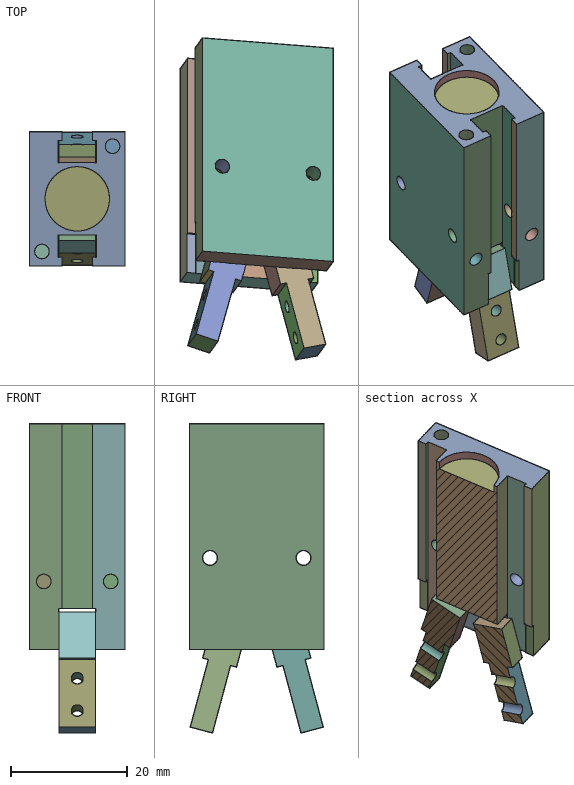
import cadquery as cq
import math

HOUSING_WIDTH = 16.4
HOUSING_DEPTH = 23.0
HOUSING_HEIGHT = 38.65

T_NECK_WIDTH = 5.25
T_HEAD_WIDTH = 6.55
T_FLOOR_Y = 6.2
T_SHOULDER_Y = 9.95

FINGER_WIDTH = 6.3
FINGER_SLOT_HEIGHT = 7.0

RECESS_DIAMETER = 11.0
RECESS_DEPTH = 1.55
HOLE_DIAMETER = 2.5
BLIND_HOLE_DEPTH = 3.2
TOP_HOLE_X = 6.05
TOP_HOLE_Y = 9.0
FRONT_HOLE_X = 5.7
FRONT_HOLE_Z = 11.65
SIDE_HOLE_Y = 8.0
SIDE_HOLE_Z = 15.65

FINGER_TILT = 15.0
ROOT_INNER_Y = 2.55
ROOT_OUTER_Y = 8.6
BLADE_INNER_Y = 3.6
BLADE_OUTER_Y = 7.55
ROOT_RISE = 4.4
SHOULDER_DROP = 3.8
TIP_Z = -14.3
FINGER_HOLE_DIAMETER = 2.0
FINGER_HOLE_DROPS = (7.1, 12.8)

tilt = math.radians(FINGER_TILT)
TIP_DROP = (BLADE_INNER_Y * math.sin(tilt) - TIP_Z) / math.cos(tilt)


def block(width, y_start, y_end, height):
    """Box centred on X, standing on Z = 0 between two Y positions."""
    return (
        cq.Workplane("XY")
        .center(0, (y_start + y_end) / 2)
        .rect(width, y_end - y_start)
        .extrude(height)
    )


def t_slot():
    """Full-height T-slot on the +Y side."""
    head = block(T_HEAD_WIDTH, T_FLOOR_Y, T_SHOULDER_Y, HOUSING_HEIGHT)
    neck = block(T_NECK_WIDTH, T_FLOOR_Y, HOUSING_DEPTH / 2, HOUSING_HEIGHT)
    return head.union(neck)


def make_housing():
    body = block(HOUSING_WIDTH, -HOUSING_DEPTH / 2, HOUSING_DEPTH / 2, HOUSING_HEIGHT)

    for angle in (0, 180):
        body = body.cut(t_slot().rotate((0, 0, 0), (0, 0, 1), angle))

    body = body.cut(
        block(FINGER_WIDTH, -HOUSING_DEPTH / 2, HOUSING_DEPTH / 2, FINGER_SLOT_HEIGHT)
    )

    top = cq.Workplane("XY", origin=(0, 0, HOUSING_HEIGHT))
    body = body.cut(top.circle(RECESS_DIAMETER / 2).extrude(-RECESS_DEPTH))
    top_holes = [(TOP_HOLE_X, TOP_HOLE_Y), (-TOP_HOLE_X, -TOP_HOLE_Y)]
    body = body.cut(
        top.pushPoints(top_holes).circle(HOLE_DIAMETER / 2).extrude(-BLIND_HOLE_DEPTH)
    )

    front = cq.Workplane("XZ", origin=(0, -HOUSING_DEPTH / 2, 0))
    front_holes = [(-FRONT_HOLE_X, FRONT_HOLE_Z), (FRONT_HOLE_X, FRONT_HOLE_Z)]
    body = body.cut(
        front.pushPoints(front_holes).circle(HOLE_DIAMETER / 2).extrude(-BLIND_HOLE_DEPTH)
    )

    side = cq.Workplane("YZ", origin=(-HOUSING_WIDTH / 2, 0, 0))
    side_holes = [(-SIDE_HOLE_Y, SIDE_HOLE_Z), (SIDE_HOLE_Y, SIDE_HOLE_Z)]
    return body.cut(
        side.pushPoints(side_holes).circle(HOLE_DIAMETER / 2).extrude(HOUSING_WIDTH)
    )


def make_finger(turn):
    """Stepped finger, tilted about X and then turned about Z to its own side."""
    outline = [
        (ROOT_INNER_Y, ROOT_RISE),
        (ROOT_OUTER_Y, ROOT_RISE),
        (ROOT_OUTER_Y, -SHOULDER_DROP),
        (BLADE_OUTER_Y, -SHOULDER_DROP),
        (BLADE_OUTER_Y, -TIP_DROP),
        (BLADE_INNER_Y, -TIP_DROP),
        (BLADE_INNER_Y, -SHOULDER_DROP),
        (ROOT_INNER_Y, -SHOULDER_DROP),
    ]
    blank = (
        cq.Workplane("YZ").polyline(outline).close().extrude(FINGER_WIDTH / 2, both=True)
    )

    holes = (
        cq.Workplane("XZ")
        .pushPoints([(0, -drop) for drop in FINGER_HOLE_DROPS])
        .circle(FINGER_HOLE_DIAMETER / 2)
        .extrude(-ROOT_OUTER_Y)
    )
    tilted = blank.cut(holes).rotate((0, 0, 0), (1, 0, 0), FINGER_TILT)
    return tilted.rotate((0, 0, 0), (0, 0, 1), turn)


housing = make_housing()
fingers = [make_finger(turn) for turn in (0, 180)]

result = cq.Compound.makeCompound([housing.val(), *[finger.val() for finger in fingers]])